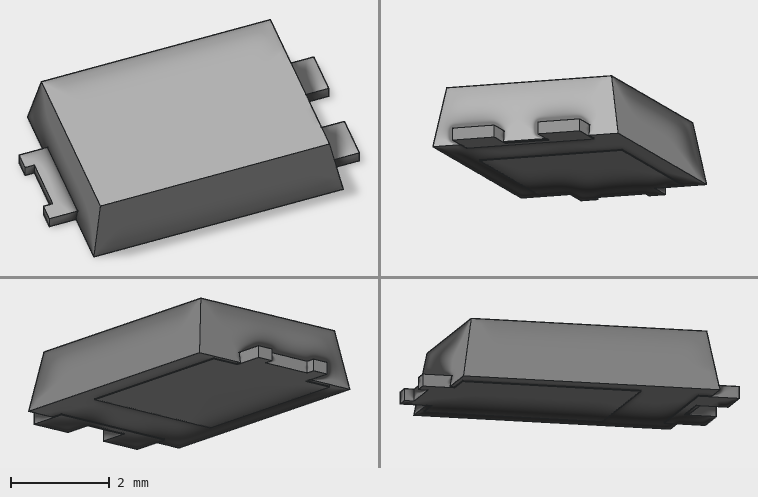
import cadquery as cq
import math

total_length = 6.5
total_height = 1.27
lead_end = total_length / 2

housing_width = 3.98
housing_length = 5.36
standoff = 0.02
draft_angle = 10.0
housing_height = total_height - standoff

sheet_thickness = 0.25
edge_inset = 0.1
inner_edge = housing_length / 2 - edge_inset

pad_width = 3.06
pad_end = 1.15
tab_width = 1.815
notch_width = 1.1
notch_depth = 0.2

leg_width = 0.9
leg_spacing = 1.83
leg_length = 0.86
crossbar_end = lead_end - leg_length


def plate(width, y_start, y_end, x_center=0.0):
    """Sheet-metal rectangle resting on the solder plane."""
    return (
        cq.Workplane("XY")
        .center(x_center, (y_start + y_end) / 2)
        .rect(width, y_end - y_start)
        .extrude(sheet_thickness)
    )


def make_cathode():
    pad = plate(pad_width, -inner_edge, pad_end)
    tab = plate(tab_width, -lead_end, -inner_edge)
    notch = plate(notch_width, -lead_end, -lead_end + notch_depth)
    return pad.union(tab).cut(notch)


def make_anode():
    anode = plate(leg_spacing + leg_width, crossbar_end, inner_edge)
    for side in (-1, 1):
        leg = plate(leg_width, crossbar_end, lead_end, side * leg_spacing / 2)
        anode = anode.union(leg)
    return anode


def make_housing(metal_parts):
    """Tapered block with a matching recess for each metal part."""
    top_inset = housing_height * math.tan(math.radians(draft_angle))
    housing = (
        cq.Workplane("XY")
        .workplane(offset=standoff)
        .rect(housing_width, housing_length)
        .workplane(offset=housing_height)
        .rect(housing_width - 2 * top_inset, housing_length - 2 * top_inset)
        .loft(ruled=True)
    )
    for metal_part in metal_parts:
        housing = housing.cut(metal_part)
    return housing


cathode = make_cathode()
anode = make_anode()
housing = make_housing([cathode, anode])

bodies = [housing, cathode, anode]
result = cq.Compound.makeCompound([body.solids().val() for body in bodies])